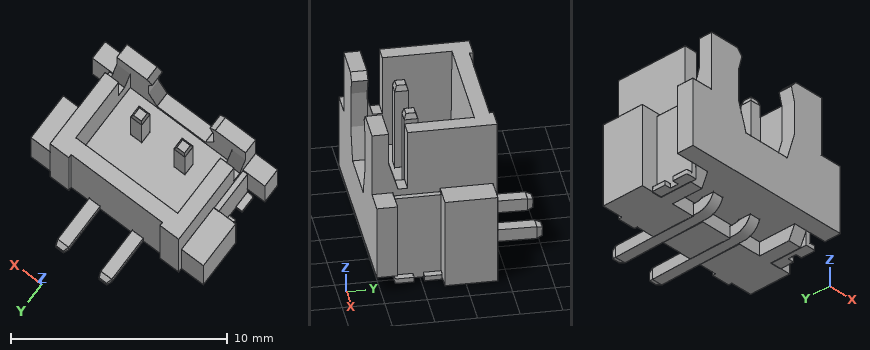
import cadquery as cq
import math

WIDTH = 10.0
HEIGHT = 7.75
SHROUD_WIDTH = 7.46
SHROUD_DEPTH = 5.89
WALL = 0.78
STANDOFF = 0.03
BASE_Z = 0.81
FLANGE_TOP = 4.56
FRONT_FLANGE_DEPTH = 0.98
REAR_FLANGE_START = 3.2
REAR_FLANGE_END = 5.68
REAR_RECESS_WIDTH = 5.28
REAR_RECESS_DEPTH = 0.18
RAIL_SLOPE_ANGLE = 25.0

CAVITY_FLOOR = 3.0
CAVITY_BACK_TOP = 4.94
CAVITY_BACK_FLOOR = 4.89

SLOT_BACK = 1.67
SLOT_FLOOR_FRONT = 1.22
SLOT_FLOOR_Z = 4.73
SLOT_SLOPE_TOP = 6.16

WINDOW_SILL_HALF = 1.4
WINDOW_SILL_Z = 3.27
WINDOW_WIDE_HALF = 1.88
WINDOW_WIDE_BOTTOM = 4.81
WINDOW_WIDE_TOP = 6.62
WINDOW_NECK_HALF = 1.67
WINDOW_NECK_Z = 7.4
WINDOW_MOUTH_HALF = 1.98

PIN_SIZE = 0.64
PIN_PITCH = 2.5
PIN_OFFSET = 0.03
PIN_Y = 2.21
PIN_TOP = 7.4
PIN_REAR = 8.4
PIN_BEND_RADIUS = 0.71
PIN_LEG_DROP = 1.0
TIP_LENGTH = 0.28
TIP_SIZE = 0.45

TAB_THICKNESS = 0.27
TAB_HEIGHT = 4.38
TAB_FOOT_REACH = 0.36
TAB_FOOT_THICKNESS = 0.25
TAB_FRONT_FOOT_LENGTH = 0.89
TAB_REAR_FOOT_LENGTH = 0.84
TAB_CORNER_RADIUS = 0.1

PIN_XS = [PIN_OFFSET + side * PIN_PITCH / 2 for side in (-1, 1)]


def box(x_range, y_range, z_range):
    """Box between the given limits on each axis."""
    (x0, x1), (y0, y1), (z0, z1) = x_range, y_range, z_range
    return cq.Workplane("XY").box(x1 - x0, y1 - y0, z1 - z0, centered=False).translate((x0, y0, z0))


def centred_box(width, y_range, z_range):
    """Box that is symmetric about X = 0."""
    return box((-width / 2, width / 2), y_range, z_range)


def side_prism(points, width):
    """Prism with a (Y, Z) outline, symmetric about X = 0."""
    return cq.Workplane("YZ").polyline(points).close().extrude(width / 2, both=True)


def housing_block():
    """Shroud above the base level, front and rear flanges and the rear foot."""
    shroud = centred_box(SHROUD_WIDTH, (0, SHROUD_DEPTH), (BASE_Z, HEIGHT))
    front_flange = centred_box(WIDTH, (0, FRONT_FLANGE_DEPTH), (BASE_Z, FLANGE_TOP))
    rear_flange = centred_box(WIDTH, (REAR_FLANGE_START, REAR_FLANGE_END), (STANDOFF, FLANGE_TOP))
    rear_foot = centred_box(SHROUD_WIDTH, (REAR_FLANGE_START, SHROUD_DEPTH), (STANDOFF, BASE_Z))
    return shroud.union(front_flange).union(rear_flange).union(rear_foot)


def bottom_rails():
    """Rails under both side walls, with leaning front faces."""
    lean = (BASE_Z - STANDOFF) * math.tan(math.radians(RAIL_SLOPE_ANGLE))
    outline = [
        (FRONT_FLANGE_DEPTH, BASE_Z),
        (FRONT_FLANGE_DEPTH + lean, STANDOFF),
        (REAR_FLANGE_START, STANDOFF),
        (REAR_FLANGE_START, BASE_Z),
    ]
    gap = side_prism(outline, SHROUD_WIDTH - 2 * WALL)
    return side_prism(outline, SHROUD_WIDTH).cut(gap)


def cavity():
    """Mating cavity, open at the top."""
    outline = [
        (WALL, CAVITY_FLOOR),
        (CAVITY_BACK_FLOOR, CAVITY_FLOOR),
        (CAVITY_BACK_TOP, HEIGHT),
        (WALL, HEIGHT),
    ]
    return side_prism(outline, SHROUD_WIDTH - 2 * WALL)


def side_slots():
    """Notch across both side walls, just behind the front wall."""
    outline = [
        (SLOT_BACK, HEIGHT),
        (SLOT_BACK, SLOT_FLOOR_Z),
        (SLOT_FLOOR_FRONT, SLOT_FLOOR_Z),
        (WALL, SLOT_SLOPE_TOP),
        (WALL, HEIGHT),
    ]
    return side_prism(outline, SHROUD_WIDTH)


def front_window():
    """Waisted window in the front wall, open at the rim."""
    right_side = [
        (WINDOW_SILL_HALF, WINDOW_SILL_Z),
        (WINDOW_WIDE_HALF, WINDOW_WIDE_BOTTOM),
        (WINDOW_WIDE_HALF, WINDOW_WIDE_TOP),
        (WINDOW_NECK_HALF, WINDOW_NECK_Z),
        (WINDOW_MOUTH_HALF, HEIGHT),
    ]
    left_side = [(-x, z) for x, z in reversed(right_side)]
    return cq.Workplane("XZ").polyline(right_side + left_side).close().extrude(-WALL)


def rear_recess():
    """Shallow full-height recess in the rear face."""
    recess_start = SHROUD_DEPTH - REAR_RECESS_DEPTH
    return centred_box(REAR_RECESS_WIDTH, (recess_start, SHROUD_DEPTH), (0, HEIGHT))


def leg_channel(x):
    """Opening below a pin leg through the rear foot."""
    x_range = (x - PIN_SIZE / 2, x + PIN_SIZE / 2)
    return box(x_range, (REAR_FLANGE_START, SHROUD_DEPTH), (0, PIN_SIZE / 2))


def make_housing(pins):
    """Housing with a matching passage for every pin."""
    housing = housing_block().union(bottom_rails())
    for cutter in (cavity(), side_slots(), front_window(), rear_recess()):
        housing = housing.cut(cutter)
    for x, pin in zip(PIN_XS, pins):
        housing = housing.cut(leg_channel(x)).cut(pin)
    return housing


def make_pin(x):
    """Square pin: upright post, rounded bend, slightly dropping rear leg, tapered tips."""
    drop = math.radians(PIN_LEG_DROP)
    sin_drop, cos_drop = math.sin(drop), math.cos(drop)

    shoulder_y = PIN_REAR - TIP_LENGTH * cos_drop - TIP_SIZE / 2 * sin_drop
    shoulder_z = PIN_SIZE / 2 * cos_drop
    bend_y = PIN_Y + PIN_BEND_RADIUS
    bend_end_y = bend_y - PIN_BEND_RADIUS * sin_drop
    bend_end_z = shoulder_z + (shoulder_y - bend_end_y) * math.tan(drop)
    bend_z = bend_end_z + PIN_BEND_RADIUS * cos_drop
    half_turn = math.radians(90 - PIN_LEG_DROP) / 2
    bend_mid = (
        bend_y - PIN_BEND_RADIUS * math.cos(half_turn),
        bend_z - PIN_BEND_RADIUS * math.sin(half_turn),
    )

    axis = (
        cq.Workplane("YZ", origin=(x, 0, 0))
        .moveTo(PIN_Y, PIN_TOP - TIP_LENGTH)
        .lineTo(PIN_Y, bend_z)
        .threePointArc(bend_mid, (bend_end_y, bend_end_z))
        .lineTo(shoulder_y, shoulder_z)
    )
    post_end = cq.Plane(origin=(x, PIN_Y, PIN_TOP - TIP_LENGTH), xDir=(1, 0, 0), normal=(0, 0, 1))
    leg_end = cq.Plane(origin=(x, shoulder_y, shoulder_z), xDir=(1, 0, 0), normal=(0, cos_drop, -sin_drop))
    pin = cq.Workplane(post_end).rect(PIN_SIZE, PIN_SIZE).sweep(axis)

    taper = math.degrees(math.atan((PIN_SIZE - TIP_SIZE) / 2 / TIP_LENGTH))
    for end in (post_end, leg_end):
        tip = cq.Workplane(end).rect(PIN_SIZE, PIN_SIZE).extrude(TIP_LENGTH, taper=taper)
        pin = pin.union(tip)
    return pin


def make_tab(side):
    """Solder tab: upright plate against the shroud wall with two outward feet."""
    inner_x = SHROUD_WIDTH / 2
    outer_x = inner_x + TAB_THICKNESS
    foot_x = outer_x + TAB_FOOT_REACH
    front, rear = FRONT_FLANGE_DEPTH, REAR_FLANGE_START
    foot_z = (0, TAB_FOOT_THICKNESS)

    tab = box((inner_x, outer_x), (front, rear), (0, TAB_HEIGHT))
    front_foot = box((outer_x, foot_x), (front, front + TAB_FRONT_FOOT_LENGTH), foot_z)
    rear_foot = box((outer_x, foot_x), (rear - TAB_REAR_FOOT_LENGTH, rear), foot_z)
    front_foot = front_foot.edges("|Z and >X and <Y").fillet(TAB_CORNER_RADIUS)
    rear_foot = rear_foot.edges("|Z and >X and >Y").fillet(TAB_CORNER_RADIUS)
    tab = tab.union(front_foot).union(rear_foot)
    return tab if side > 0 else tab.mirror("YZ")


pins = [make_pin(x) for x in PIN_XS]
tabs = [make_tab(side) for side in (-1, 1)]
housing = make_housing(pins)

result = cq.Compound.makeCompound([housing.val(), *[body.val() for body in pins + tabs]])